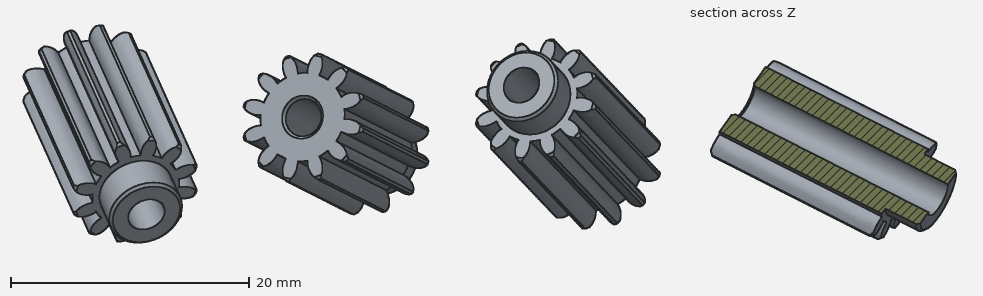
import cadquery as cq
import math

total_length = 19.18
gear_length = 15.92
tip_radius = 11.1 / 2
root_radius = 3.78
hub_radius = 3.18
bore_radius = 1.6
edge_chamfer = 0.25
countersink_radius = bore_radius + edge_chamfer

tooth_count = 12
tooth_pitch = 360 / tooth_count
first_tooth_angle = tooth_pitch / 2
root_half_width = 1.1 / 2
tip_half_width = 0.29 / 2
flank_thickness = [(4.2, 1.25), (4.62, 1.2), (5.03, 0.98), (5.35, 0.58)]


def cylinder(radius, length):
    return cq.Workplane("YZ").circle(radius).extrude(length)


def make_tooth():
    """One tooth pointing along +Y, rooted inside the gear core."""
    root_y = math.sqrt(root_radius**2 - root_half_width**2)
    tip_y = math.sqrt(tip_radius**2 - tip_half_width**2)
    upper_flank = [(y, thickness / 2) for y, thickness in flank_thickness]
    upper_flank.append((tip_y, tip_half_width))
    lower_flank = [(y, -thickness / 2) for y, thickness in reversed(flank_thickness)]
    lower_flank.append((root_y, -root_half_width))
    return (
        cq.Workplane("YZ")
        .moveTo(root_y, root_half_width)
        .spline(upper_flank, includeCurrent=True)
        .threePointArc((tip_radius, 0), (tip_y, -tip_half_width))
        .spline(lower_flank, includeCurrent=True)
        .lineTo(countersink_radius, -root_half_width)
        .lineTo(countersink_radius, root_half_width)
        .lineTo(root_y, root_half_width)
        .close()
        .extrude(gear_length)
    )


gear = cylinder(root_radius, gear_length)
tooth = make_tooth()
for index in range(tooth_count):
    angle = first_tooth_angle + index * tooth_pitch
    gear = gear.union(tooth.rotate((0, 0, 0), (1, 0, 0), angle))

tip_blank = cylinder(tip_radius, gear_length).edges("%CIRCLE").chamfer(edge_chamfer)
gear = gear.intersect(tip_blank)

hub = cylinder(hub_radius, total_length).faces(">X").edges().chamfer(edge_chamfer)

bore = cylinder(bore_radius, total_length)
countersink = (
    cq.Workplane("YZ")
    .circle(countersink_radius)
    .workplane(offset=edge_chamfer)
    .circle(bore_radius)
    .loft()
)

result = gear.union(hub).cut(bore).cut(countersink)